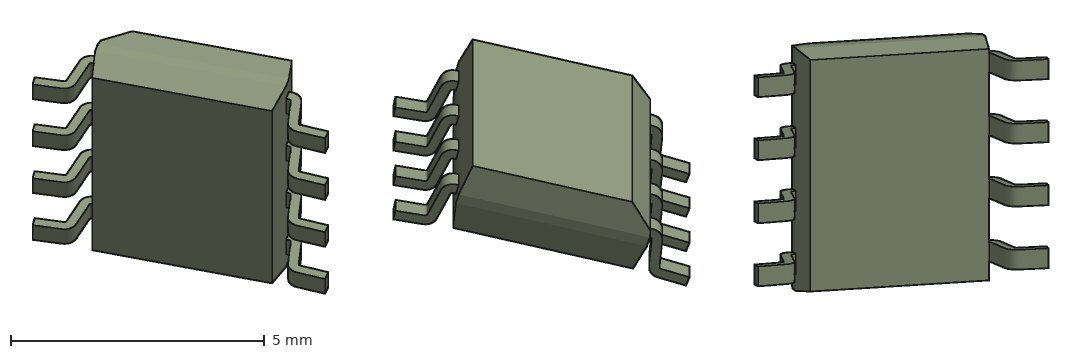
import cadquery as cq
import math


lead_span = 6.0
overall_height = 1.75
housing_width = 3.9
housing_length = 4.9

housing_height = 1.5
draft_angle = 10.0
bevel_size = 0.505

leads_per_side = 4
lead_pitch = 1.27
lead_width = 0.4
lead_thickness = 0.21
inner_bend_radius = 0.05
outer_bend_radius = inner_bend_radius + lead_thickness
foot_length = 0.71
foot_slope = 4.0
shank_lean = 10.0

taper_height = (housing_height - lead_thickness) / 2
housing_bottom = overall_height - housing_height
band_bottom = housing_bottom + taper_height
band_top = band_bottom + lead_thickness
half_thickness = lead_thickness / 2


def housing_block(plane, start_y, depth, taper=0):
    """Block of the housing outline, growing from start_y along the normal of the plane."""
    size = {"ZX": (housing_length, housing_width), "XZ": (housing_width, housing_length)}[plane]
    return cq.Workplane(plane, origin=(0, start_y, 0)).rect(*size).extrude(depth, taper=taper)


def bevel_cutter():
    """Triangular prism that removes the top -X edge of the housing."""
    inset_at_top = taper_height * math.tan(math.radians(draft_angle))
    inset_at_bevel = (taper_height - bevel_size) * math.tan(math.radians(draft_angle))
    bevel_x = inset_at_bevel - housing_width / 2
    bevel_y = overall_height - bevel_size
    clearance = inset_at_top
    reach = bevel_size + clearance
    return (
        cq.Workplane("XY")
        .moveTo(bevel_x - clearance, bevel_y - clearance)
        .line(reach + clearance, reach + clearance)
        .line(-reach - clearance, 0)
        .close()
        .extrude(housing_length / 2, both=True)
    )


def make_housing():
    """Straight band with a tapered block above and below it, bevelled along one top edge."""
    band = housing_block("ZX", band_bottom, lead_thickness)
    upper = housing_block("ZX", band_top, taper_height, draft_angle)
    lower = housing_block("XZ", band_bottom, taper_height, draft_angle)
    return band.union(upper).union(lower).cut(bevel_cutter())


def offset_to_upper_face(angle_in, angle_out):
    """Vector from a mid-line corner to the mitred corner of the upper face; headings are in radians."""
    normal_angle = (angle_in + angle_out + math.pi) / 2
    reach = half_thickness / math.cos((angle_out - angle_in) / 2)
    return cq.Vector(reach * math.cos(normal_angle), reach * math.sin(normal_angle))


def make_lead():
    """Gull-wing lead on the +X side, centred on Z = 0 and butting against the housing band."""
    shoulder_angle = 0.0
    shank_angle = math.radians(shank_lean - 90)
    foot_angle = math.radians(-foot_slope)

    toe = cq.Vector(
        lead_span / 2 + half_thickness * math.sin(foot_angle),
        half_thickness * math.cos(foot_angle),
    )
    ankle = toe - cq.Vector(math.cos(foot_angle), math.sin(foot_angle)) * foot_length
    knee_y = band_bottom + half_thickness
    knee = cq.Vector(ankle.x + (knee_y - ankle.y) / math.tan(shank_angle), knee_y)
    root = cq.Vector(housing_width / 2, knee_y)

    root_offset = offset_to_upper_face(shoulder_angle, shoulder_angle)
    knee_offset = offset_to_upper_face(shoulder_angle, shank_angle)
    ankle_offset = offset_to_upper_face(shank_angle, foot_angle)
    toe_offset = offset_to_upper_face(foot_angle, foot_angle)

    upper_face = [root + root_offset, knee + knee_offset, ankle + ankle_offset, toe + toe_offset]
    lower_face = [root - root_offset, knee - knee_offset, ankle - ankle_offset, toe - toe_offset]
    outline = [point.toTuple()[:2] for point in upper_face + lower_face[::-1]]
    strip = cq.Workplane("XY").polyline(outline).close().extrude(lead_width / 2, both=True)

    outer_corners = [knee + knee_offset, ankle - ankle_offset]
    inner_corners = [knee - knee_offset, ankle + ankle_offset]
    for corners, radius in ((outer_corners, outer_bend_radius), (inner_corners, inner_bend_radius)):
        for corner in corners:
            strip = strip.edges(cq.selectors.NearestToPointSelector(corner.toTuple())).fillet(radius)
    return strip


def make_leads():
    """A row of leads on each side of the housing, each one a separate solid."""
    right_lead = make_lead()
    left_lead = right_lead.mirror("YZ")
    leads = cq.Workplane("XY")
    for index in range(leads_per_side):
        lead_z = (index - (leads_per_side - 1) / 2) * lead_pitch
        for lead in (right_lead, left_lead):
            leads.add(lead.translate((0, 0, lead_z)).solids())
    return leads


housing = make_housing()
leads = make_leads()

result = cq.Compound.makeCompound([housing.solids().val(), *leads.vals()])